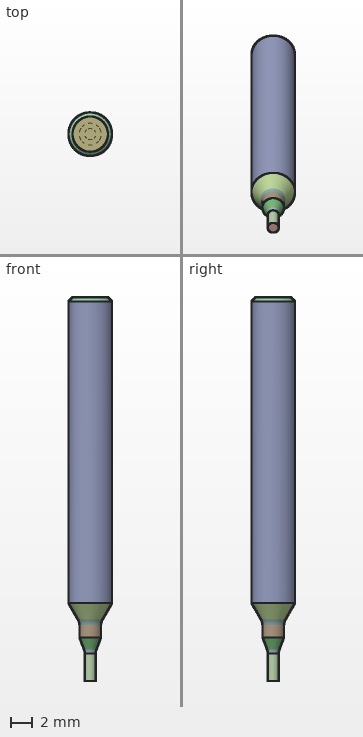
import cadquery as cq
import math

total_length = 35.0
shank_radius = 4.0 / 2
neck_radius = 2.0 / 2
tip_radius = 1.0 / 2
end_chamfer = 0.4

tip_length = 2.52
neck_bottom = 4.0
neck_top = 5.1

blend_radius = 1.0
shank_taper_angle = math.radians(30)
neck_taper_angle = math.radians(21)


def blend_points(radius, height, angle):
    """Middle and upper end of the arc that leaves a cylinder at the given height and meets a taper."""
    def on_arc(turn):
        return (
            radius + blend_radius * (1 - math.cos(turn)),
            height + blend_radius * math.sin(turn),
        )

    return on_arc(angle / 2), on_arc(angle)


def make_tip():
    """Plain cylindrical tip, butted against the lower end of the holder."""
    return cq.Workplane("XY").circle(tip_radius).extrude(tip_length)


def make_holder():
    """Revolved shank and neck, each narrowing through a blended taper."""
    neck_arc_middle, neck_arc_end = blend_points(tip_radius, tip_length, neck_taper_angle)
    shank_arc_middle, shank_arc_end = blend_points(neck_radius, neck_top, shank_taper_angle)
    taper_height = (shank_radius - shank_arc_end[0]) / math.tan(shank_taper_angle)
    shank_bottom = shank_arc_end[1] + taper_height

    return (
        cq.Workplane("XZ")
        .moveTo(0, tip_length)
        .lineTo(tip_radius, tip_length)
        .threePointArc(neck_arc_middle, neck_arc_end)
        .lineTo(neck_radius, neck_bottom)
        .lineTo(neck_radius, neck_top)
        .threePointArc(shank_arc_middle, shank_arc_end)
        .lineTo(shank_radius, shank_bottom)
        .lineTo(shank_radius, total_length - end_chamfer)
        .lineTo(shank_radius - end_chamfer, total_length)
        .lineTo(0, total_length)
        .close()
        .revolve(360, (0, 0, 0), (0, 1, 0))
    )


tip = make_tip()
holder = make_holder()

result = cq.Compound.makeCompound([tip.val(), holder.val()])